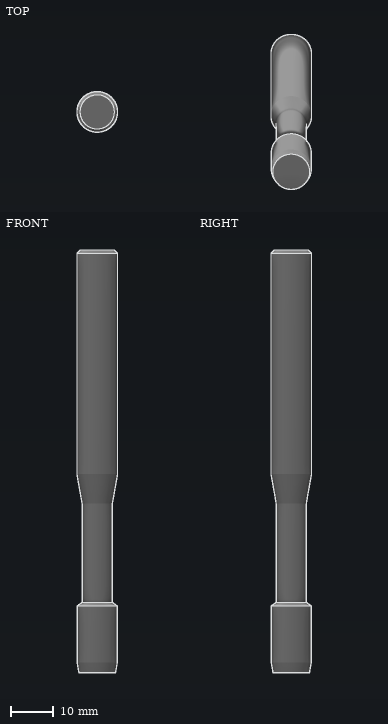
import cadquery as cq

total_length = 100.0

neck_diameter = 7.2

head_diameter = 9.525
lead_tip_diameter = 8.72
lead_length = 2.38
head_length = 16.7
back_cone_height = 0.85

shank_diameter = 9.68
neck_end_height = 40.0
shank_start_height = 47.0
shank_chamfer = 0.8


def turned_body(profile):
    """Revolve (radius, height) points about Z."""
    return cq.Workplane("XZ").polyline(profile).close().revolve(360, (0, 0), (0, 1))


def make_head():
    """Threading head at the tip: tapered lead, cylinder and back cone down to the neck."""
    radius = head_diameter / 2
    return turned_body([
        (0, 0),
        (lead_tip_diameter / 2, 0),
        (radius, lead_length),
        (radius, head_length - back_cone_height),
        (neck_diameter / 2, head_length),
        (0, head_length),
    ])


def make_shank():
    """Neck standing on the head, widening through a cone into the chamfered shank."""
    radius = shank_diameter / 2
    return turned_body([
        (0, head_length),
        (neck_diameter / 2, head_length),
        (neck_diameter / 2, neck_end_height),
        (radius, shank_start_height),
        (radius, total_length - shank_chamfer),
        (radius - shank_chamfer, total_length),
        (0, total_length),
    ])


head = make_head()
shank = make_shank()

result = cq.Compound.makeCompound([head.val(), shank.val()])